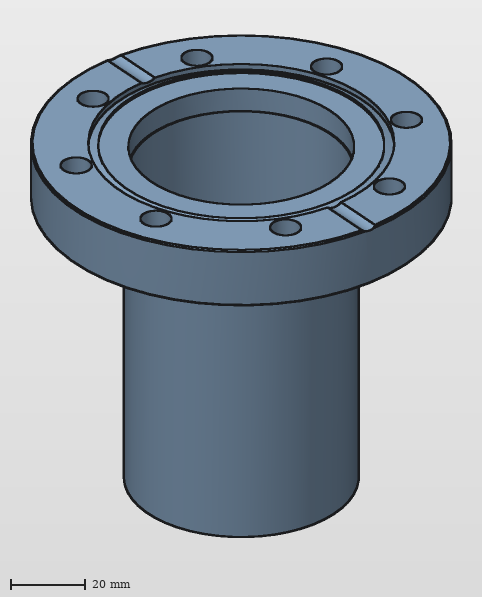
import cadquery as cq

total_height = 105.0
flange_diameter = 113.5
flange_thickness = 17.5
rim_chamfer = 0.5

tube_outer_diameter = 63.5
tube_inner_diameter = 60.5
bore_diameter = 61.0
socket_diameter = 63.8
bore_length = 7.0

recess_diameter = 82.5
knife_diameter = 77.2
knife_tip_depth = 0.7
recess_depth = 1.7
inner_face_depth = 1.2

bolt_count = 8
bolt_circle_diameter = 92.2
bolt_hole_diameter = 8.4

groove_width = 4.5
groove_depth = 0.7

flange_bottom = total_height - flange_thickness
tube_top = total_height - inner_face_depth - bore_length


def flange_blank():
    """Turned flange with its stepped bore, knife edge and recess."""
    profile = [
        (socket_diameter / 2, flange_bottom),
        (flange_diameter / 2 - rim_chamfer, flange_bottom),
        (flange_diameter / 2, flange_bottom + rim_chamfer),
        (flange_diameter / 2, total_height - rim_chamfer),
        (flange_diameter / 2 - rim_chamfer, total_height),
        (recess_diameter / 2, total_height),
        (recess_diameter / 2, total_height - recess_depth),
        (knife_diameter / 2, total_height - knife_tip_depth),
        (knife_diameter / 2, total_height - inner_face_depth),
        (bore_diameter / 2, total_height - inner_face_depth),
        (bore_diameter / 2, tube_top),
        (socket_diameter / 2, tube_top),
    ]
    return cq.Workplane("XZ").polyline(profile).close().revolve(360, (0, 0), (0, 1))


def bolt_holes():
    """Through holes with the X axis midway between two of them."""
    return (
        cq.Workplane("XY", origin=(0, 0, flange_bottom))
        .polarArray(bolt_circle_diameter / 2, 180 / bolt_count, 360, bolt_count)
        .circle(bolt_hole_diameter / 2)
        .extrude(flange_thickness)
    )


def leak_test_groove():
    """Round-bottomed groove along X; crossing the recess it forms both leak-test grooves."""
    radius = ((groove_width / 2) ** 2 + groove_depth ** 2) / (2 * groove_depth)
    axis_height = total_height - groove_depth + radius
    groove = (
        cq.Workplane("YZ", origin=(-flange_diameter / 2, 0, 0))
        .center(0, axis_height)
        .circle(radius)
        .extrude(flange_diameter)
    )
    sealing_area = (
        cq.Workplane("XY", origin=(0, 0, flange_bottom))
        .circle(recess_diameter / 2)
        .extrude(flange_thickness + 2 * radius)
    )
    return groove.cut(sealing_area)


def make_flange():
    return flange_blank().cut(bolt_holes()).cut(leak_test_groove())


def make_tube():
    """Plain tube seated against the shoulder of the flange socket."""
    return (
        cq.Workplane("XY")
        .circle(tube_outer_diameter / 2)
        .circle(tube_inner_diameter / 2)
        .extrude(tube_top)
    )


flange = make_flange()
tube = make_tube()
result = cq.Compound.makeCompound([flange.val(), tube.val()])